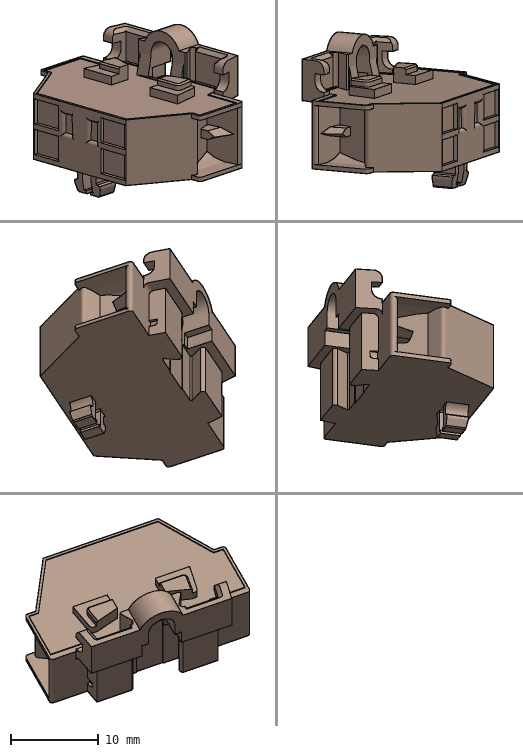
import cadquery as cq
import math

BODY_HEIGHT = 7.93
HALF_WIDTH = 12.55
HALF_FRONT = 7.23
HALF_SHOULDER = 11.2
SHOULDER_Y = 6.8
BODY_BACK = 14.13
TAIL_BACK = 16.06
WALL_BACK = 17.2
HALF_TAIL = 7.6
TAIL_SLANT = math.tan(math.radians(10))
CORNER_RADIUS = 0.38

WALL_BOTTOM = 7.1
WALL_TOP = 11.95
HOOK_THICKNESS = 1.4
RIM_CHAMFER = 0.48
BEVEL_CORNER_RADIUS = 0.63
HOOK_TIP_LENGTH = 1.13
HOOK_TIP_DROP = 0.9
HOOK_TIP_RADIUS = 1.05
NOTCH_TOP = 10.45
NOTCH_BACK = 15.35
NOTCH_BOTTOM = 8.38
NOTCH_RADIUS = 1.18
HOOK_ROOT_RADIUS = 0.65

ARCH_RADIUS = 2.94
ARCH_BORE_RADIUS = 1.65
ARCH_CENTRE_Z = 10.77
ARCH_FRONT = 13.88
SLOT_FRONT = 13.78

UNDERCUT_X = 2.48
UNDERCUT_FRONT = 14.1
UNDERCUT_TOP = 8.94

RIM = 0.35
PANEL_DEPTH = 0.1
PANEL_BACK = 13.33
PANEL_TAIL_BACK = 15.65
PANEL_Z = BODY_HEIGHT - PANEL_DEPTH

PLATE = 0.53

CLIP_BOTTOM = -3.0
CLIP_FRONT = 1.2
CLIP_BACK = 3.95


def both_sides(half):
    """The given left-hand shape together with its mirror image."""
    return half.union(half.mirror("YZ"))


def tail_side(y):
    """X of the slanted left side of the tail at a given Y."""
    return -HALF_TAIL - (TAIL_BACK - y) * TAIL_SLANT


def prism(points, bottom, top):
    """Vertical prism over a plan outline."""
    return cq.Workplane("XY").workplane(offset=bottom).polyline(points).close().extrude(top - bottom)


def block(x, y, z):
    """Box between the given (low, high) limits."""
    return cq.Workplane("XY").box(x[1] - x[0], y[1] - y[0], z[1] - z[0], centered=False).translate(
        (x[0], y[0], z[0])
    )


def body():
    left = [
        (-HALF_FRONT, 0),
        (-HALF_SHOULDER, SHOULDER_Y),
        (-HALF_WIDTH, SHOULDER_Y),
        (-HALF_WIDTH, BODY_BACK),
        (tail_side(BODY_BACK), BODY_BACK),
        (tail_side(TAIL_BACK), TAIL_BACK),
    ]
    right = [(-x, y) for x, y in reversed(left)]
    solid = prism(left + right, 0, BODY_HEIGHT)
    return solid.faces("<X or >X").edges("|Z").fillet(CORNER_RADIUS)


def top_panel():
    """Shallow recess that leaves a narrow rim around the top face."""
    inner_x = -2.89
    slant_angle = math.atan2(SHOULDER_Y, HALF_SHOULDER - HALF_FRONT)
    corner_shift = RIM * math.tan(slant_angle / 2)
    left = [
        (-HALF_FRONT + corner_shift, RIM),
        (-HALF_SHOULDER + corner_shift, SHOULDER_Y + RIM),
        (-HALF_WIDTH + RIM, SHOULDER_Y + RIM),
        (-HALF_WIDTH + RIM, PANEL_BACK),
        (tail_side(PANEL_BACK) + RIM, PANEL_BACK),
        (tail_side(PANEL_TAIL_BACK) + RIM, PANEL_TAIL_BACK),
        (inner_x, PANEL_TAIL_BACK),
        (inner_x, PANEL_BACK),
    ]
    right = [(-x, y) for x, y in reversed(left)]
    return prism(left + right, PANEL_Z, BODY_HEIGHT + 0.25)


def funnel():
    """Left side funnel: a plan outline limited above and below by its sloping roof and floor."""
    outside = -HALF_WIDTH - 0.25
    nose_y = 7.1
    nose_x = -HALF_SHOULDER - (nose_y - SHOULDER_Y) * (HALF_SHOULDER - HALF_FRONT) / SHOULDER_Y
    plan = (
        cq.Workplane("XY")
        .moveTo(outside, SHOULDER_Y)
        .lineTo(-HALF_SHOULDER, SHOULDER_Y)
        .lineTo(nose_x, nose_y)
        .threePointArc((-11.45, 7.43), (-11.25, 7.73))
        .lineTo(-9.66, 8.7)
        .lineTo(-8.2, 12.65)
        .lineTo(-12.35, 13.3)
        .threePointArc((-12.47, 13.43), (-HALF_WIDTH, 13.65))
        .lineTo(outside, 13.65)
        .close()
        .extrude(BODY_HEIGHT)
    )
    floor = [(outside, PLATE), (-10.55, PLATE), (-9.19, 0.83), (-8.2, 1.35)]
    roof = [(x, BODY_HEIGHT - z) for x, z in reversed(floor)]
    side = cq.Workplane("XZ").polyline(floor + roof).close().extrude(-TAIL_BACK)
    return plan.intersect(side)


def funnel_blade():
    """Pointed rib that stands out of the depth of the left funnel."""
    half_thickness = 0.53
    ridge_z = 4.07
    root = -8.28
    front_y, back_y = 10.95, 13.2

    def section(edge, base):
        return [
            (edge, ridge_z),
            (base, ridge_z + half_thickness),
            (root, ridge_z + half_thickness),
            (root, ridge_z - half_thickness),
            (base, ridge_z - half_thickness),
        ]

    return (
        cq.Workplane("XZ", origin=(0, front_y, 0))
        .polyline(section(-10.95, -9.9))
        .close()
        .workplane(offset=front_y - back_y)
        .polyline(section(-11.85, -10.1))
        .close()
        .loft(ruled=True)
    )


def front_windows():
    """The two rectangular pockets on the left of the front face."""
    depth = 0.5
    x = (-7.05, -3.31)
    return block(x, (0, depth), (4.32, 7.33)).union(block(x, (0, depth), (0.6, 3.65)))


def test_port():
    """Small left front pocket whose mouth is flared all round by a convex quarter-round."""
    depth = 0.5
    flare = 0.43
    outline = [(-2.59, 4.12), (-1.33, 4.12), (-1.4, 6.48), (-2.59, 6.48)]
    base = cq.Workplane("XZ").polyline(outline).close().extrude(-depth)
    stock = block((-3.26, -0.75), (0, depth), (3.4, 7.15))
    mouth = cq.selectors.BoxSelector((-2.75, -0.03, 4.02), (-1.25, 0.03, 6.53))
    return stock.cut(stock.cut(base).edges(mouth).fillet(flare))


def latch_recess():
    """Shallow recess low on the left side of the tail."""
    depth = 0.38
    low, high, back = 1.45, 2.4, 15.09
    radius = 0.43
    outline = (
        cq.Workplane("YZ", origin=(tail_side(BODY_BACK) - 0.25, 0, 0))
        .moveTo(BODY_BACK, low)
        .lineTo(back - radius, low)
        .radiusArc((back, low + radius), -radius)
        .lineTo(back, high)
        .lineTo(BODY_BACK, high)
        .close()
    )
    return outline.extrude(depth + 0.25)


def hook():
    """Left hook: a C-shaped side profile limited in plan by the slanted side of the tail."""
    profile = (
        cq.Workplane("YZ", origin=(-HALF_WIDTH, 0, 0))
        .moveTo(WALL_BACK, WALL_BOTTOM)
        .lineTo(WALL_BACK, WALL_TOP)
        .lineTo(BODY_BACK + HOOK_TIP_LENGTH, WALL_TOP)
        .radiusArc((BODY_BACK, WALL_TOP - HOOK_TIP_DROP), -HOOK_TIP_RADIUS)
        .lineTo(BODY_BACK, NOTCH_TOP)
        .lineTo(NOTCH_BACK, NOTCH_TOP)
        .lineTo(NOTCH_BACK, NOTCH_BOTTOM + NOTCH_RADIUS)
        .radiusArc((NOTCH_BACK - NOTCH_RADIUS, NOTCH_BOTTOM), NOTCH_RADIUS)
        .lineTo(BODY_BACK, NOTCH_BOTTOM)
        .lineTo(BODY_BACK, WALL_BOTTOM - HOOK_ROOT_RADIUS)
        .radiusArc((BODY_BACK + HOOK_ROOT_RADIUS, WALL_BOTTOM), HOOK_ROOT_RADIUS)
        .close()
        .extrude(HALF_WIDTH)
    )
    plan = [
        (tail_side(BODY_BACK), BODY_BACK),
        (tail_side(WALL_BACK), WALL_BACK),
        (tail_side(WALL_BACK) - HOOK_THICKNESS, WALL_BACK),
        (tail_side(BODY_BACK) - HOOK_THICKNESS, BODY_BACK),
    ]
    return profile.intersect(prism(plan, 0, WALL_TOP))


def rear_wall():
    """Left half of the upper wall and its hook, bevelled along the inner top edge."""
    wall = prism(
        [
            (0, TAIL_BACK),
            (0, WALL_BACK),
            (tail_side(WALL_BACK) - 0.25, WALL_BACK),
            (tail_side(TAIL_BACK) - 0.25, TAIL_BACK),
        ],
        WALL_BOTTOM,
        WALL_TOP,
    )

    front = BODY_BACK - 0.25

    def bevel_outline(grow, end):
        return [
            (end, front),
            (end, TAIL_BACK + grow),
            (tail_side(TAIL_BACK + grow) - grow, TAIL_BACK + grow),
            (tail_side(front) - grow, front),
        ]

    bevel = (
        cq.Workplane("XY", origin=(0, 0, WALL_TOP - RIM_CHAMFER))
        .polyline(bevel_outline(0, -3.21))
        .close()
        .workplane(offset=RIM_CHAMFER)
        .polyline(bevel_outline(RIM_CHAMFER, -3.45))
        .close()
        .loft(ruled=True)
    )
    corner = cq.selectors.NearestToPointSelector(
        (tail_side(TAIL_BACK), TAIL_BACK + RIM_CHAMFER / 2, WALL_TOP - RIM_CHAMFER / 2)
    )
    bevel = bevel.edges(corner).fillet(BEVEL_CORNER_RADIUS)
    return wall.union(hook()).cut(bevel)


def dovetail(bottom, top):
    """Left half of the dovetail that widens toward the front."""
    neck, flare, root = -2.94, -3.82, -3.21
    return (
        cq.Workplane("XY", origin=(0, 0, bottom))
        .moveTo(0, ARCH_FRONT)
        .lineTo(-3.61, ARCH_FRONT)
        .lineTo(flare, ARCH_FRONT + 0.15)
        .lineTo(neck, 15.5)
        .threePointArc((-2.99, 15.81), (root, TAIL_BACK))
        .lineTo(root, WALL_BACK)
        .lineTo(0, WALL_BACK)
        .close()
        .extrude(top - bottom)
    )


def arch_post():
    """Left half of the dovetailed post under the arch, with the wedge at its foot."""
    post = dovetail(PANEL_Z, WALL_TOP)
    wedge_top = 10.4
    wedge_width = 3.4
    wedge = (
        cq.Workplane("YZ")
        .polyline([(PANEL_BACK, PANEL_Z), (ARCH_FRONT, wedge_top), (ARCH_FRONT, PANEL_Z)])
        .close()
        .extrude(-wedge_width)
    )
    return post.union(wedge)


def arch_cylinder(radius, front):
    return (
        cq.Workplane("XZ", origin=(0, front, ARCH_CENTRE_Z)).circle(radius).extrude(front - WALL_BACK)
    )


def arch_bore():
    """Round-topped opening through the arch, with a slot down through the tail behind the rim."""
    bore_x = (-ARCH_BORE_RADIUS, ARCH_BORE_RADIUS)
    front = PANEL_BACK - 0.25
    bore = arch_cylinder(ARCH_BORE_RADIUS, front)
    opening = block(bore_x, (front, WALL_BACK), (BODY_HEIGHT, ARCH_CENTRE_Z))
    slot = block(bore_x, (SLOT_FRONT, WALL_BACK), (0, ARCH_CENTRE_Z))
    undercut = block((-UNDERCUT_X, UNDERCUT_X), (UNDERCUT_FRONT, WALL_BACK), (0, UNDERCUT_TOP))
    return bore.union(opening).union(slot).union(undercut)


def top_key():
    """Left two-step key on the top panel."""
    base_top, key_top = 8.85, 9.65
    base_corner, key_corner = (-6.7, 12.35), (-6.38, 9.9)
    base_corner_radius, key_corner_radius, key_chamfer = 0.38, 0.5, 0.2
    inner_x, front = -3.0, 8.63
    back = base_corner[1]
    sloping_back = [(-5.92, back), (inner_x, 11.47)]

    def round_corner(solid, corner, height, radius):
        nearest = cq.selectors.NearestToPointSelector((*corner, height / 2 + PANEL_Z / 2))
        return solid.edges("|Z").edges(nearest).fillet(radius)

    base = prism([(inner_x, front), (-7.33, front), base_corner] + sloping_back, PANEL_Z, base_top)
    base = round_corner(base, base_corner, base_top, base_corner_radius)
    key = prism([(inner_x, key_corner[1]), key_corner, (-6.02, back)] + sloping_back, PANEL_Z, key_top)
    key = round_corner(key, key_corner, key_top, key_corner_radius)
    front_and_side = cq.selectors.BoxSelector(
        (key_corner[0] - 0.25, key_corner[1] - 0.25, key_top - 0.03), (-4.27, 11.3, key_top + 0.03)
    )
    return base.union(key.faces(">Z").edges(front_and_side).chamfer(key_chamfer))


def clip_leg():
    """Left leg of the snap clip, with its barb and its sloping front."""
    leg = (
        cq.Workplane("XZ", origin=(0, CLIP_BACK, 0))
        .moveTo(-0.5, 0)
        .lineTo(-0.68, -0.23)
        .lineTo(-0.68, -2.64)
        .lineTo(-0.3, -2.64)
        .lineTo(-0.3, CLIP_BOTTOM)
        .lineTo(-1.55, CLIP_BOTTOM)
        .lineTo(-1.7, -2.85)
        .lineTo(-1.98, -2.0)
        .lineTo(-1.98, -1.58)
        .lineTo(-1.6, -1.45)
        .lineTo(-1.43, -1.3)
        .lineTo(-1.43, -0.88)
        .threePointArc((-1.55, -0.45), (-1.88, 0))
        .close()
        .extrude(CLIP_BACK - CLIP_FRONT)
    )
    slope_start = -1.2
    slope_run = 0.35
    slope = (
        cq.Workplane("YZ")
        .moveTo(CLIP_FRONT, slope_start)
        .lineTo(CLIP_FRONT + slope_run, CLIP_BOTTOM)
        .lineTo(CLIP_FRONT, CLIP_BOTTOM)
        .close()
        .extrude(-HALF_FRONT)
    )
    return leg.cut(slope)


left_additions = rear_wall().union(arch_post()).union(top_key()).union(clip_leg())
socket = dovetail(0, WALL_BOTTOM)
left_cuts = funnel().cut(funnel_blade())
for pocket in (front_windows(), test_port(), latch_recess(), socket):
    left_cuts = left_cuts.union(pocket)

result = body().cut(top_panel()).cut(both_sides(left_cuts))
result = result.union(both_sides(left_additions))
result = result.union(arch_cylinder(ARCH_RADIUS, ARCH_FRONT)).cut(arch_bore())